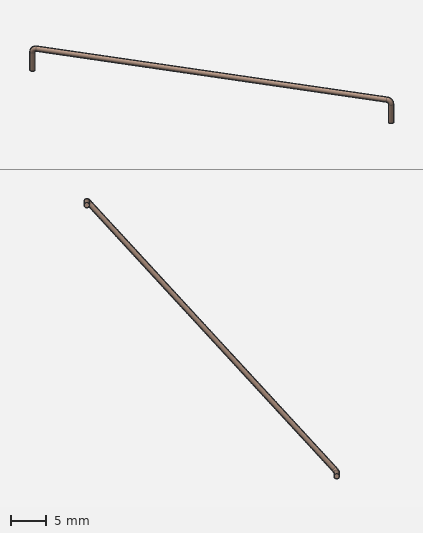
import cadquery as cq

wire_diameter = 0.75
overall_length = 52.75
overall_height = 3.98
bend_radius = 0.6

wire_radius = wire_diameter / 2
leg_offset = (overall_length - wire_diameter) / 2
bar_height = overall_height - wire_radius
leg_length = bar_height - bend_radius
bar_half_length = leg_offset - bend_radius


def wire_centreline():
    """Path up the left leg, along the bar and down the right leg."""
    return (
        cq.Workplane("XZ")
        .moveTo(-leg_offset, 0)
        .lineTo(-leg_offset, leg_length)
        .tangentArcPoint((-bar_half_length, bar_height), relative=False)
        .lineTo(bar_half_length, bar_height)
        .tangentArcPoint((leg_offset, leg_length), relative=False)
        .lineTo(leg_offset, 0)
    )


def bent_wire():
    """Round wire swept along the centreline, starting at the left leg tip."""
    section = cq.Workplane("XY").center(-leg_offset, 0).circle(wire_radius)
    return section.sweep(wire_centreline())


result = bent_wire()